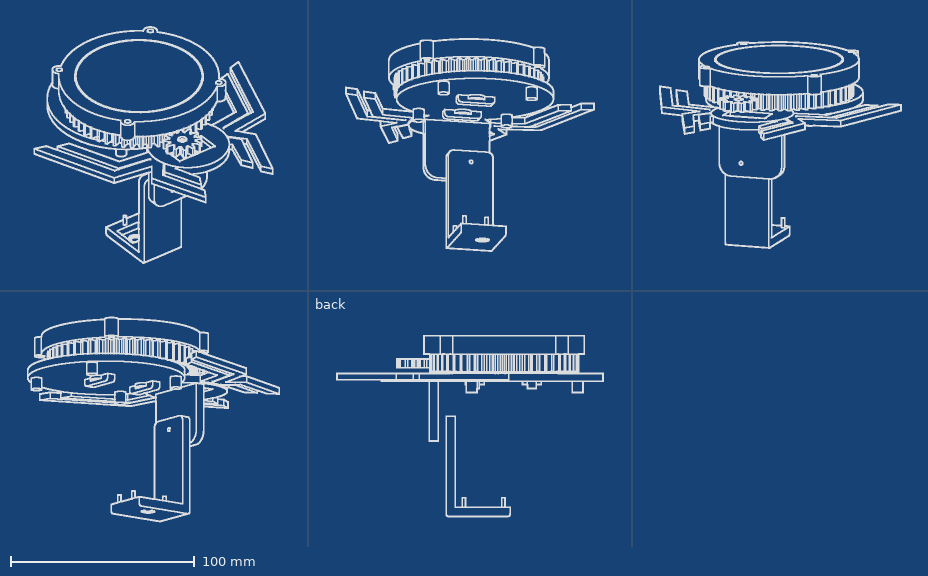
import cadquery as cq
import math


BASE_THICKNESS = 4.4
BASE_RADIUS = 42.8
BASE_X = -11.2
BASE_Y = -0.7
LOBE_RADIUS = 22.5
LOBE_X = 44.4

FOOT_DIAMETER = 6.0
FOOT_LENGTH = 6.1
FOOT_OFFSET_X = 28.9
FOOT_OFFSET_Y = 24.7

CLIP_XS = (-15.1, 16.0)
CLIP_LENGTH = 20.3
CLIP_BOSS_DIAMETER = 10.5
CLIP_BOSS_DROP = 1.7
CLIP_BAR_WIDTH = 5.0
CLIP_BAR_DROP = 3.9
CLIP_BAR_ROUND = 1.7

WALL_THICKNESS = 5.1
WALL_X = 35.8
WALL_FRONT_Y = -20.3
WALL_WIDTH = 36.0
WALL_BOTTOM_Z = -36.9
WALL_ROUND = 6.8
PIVOT_DIAMETER = 1.9
PIVOT_Y = -7.7
PIVOT_Z = -29.3

HUB_DIAMETER = 58.8
RUNNING_GAP = 1.0
GEAR_THICKNESS = 9.6
GEAR_BORE = 60.0
COVER_THICKNESS = 10.0
COVER_DIAMETER = 87.3
COVER_BORE = 70.0
DISC_DIAMETER = 68.8
EAR_DIAMETER = 7.5
EAR_HOLE = 3.2
EAR_OFFSET = 31.0
COVER_Z = RUNNING_GAP + GEAR_THICKNESS

GEAR_TEETH = 52
GEAR_TIP_RADIUS = 40.6
GEAR_ROOT_RADIUS = 37.1
GEAR_TIP_WIDTH = 1.3
GEAR_ROOT_WIDTH = 3.2
GEAR_FIRST_TOOTH = 6.2
PINION_TEETH = 12
PINION_TIP_RADIUS = 10.5
PINION_ROOT_RADIUS = 7.1
PINION_TIP_WIDTH = 1.5
PINION_ROOT_WIDTH = 2.9

PINION_X = 48.0
PINION_Y = -6.5
PINION_Z = 3.0
PINION_THICKNESS = 5.0
PINION_HOLE = 2.0
PINION_RECESS = 4.8
PINION_RECESS_DEPTH = 1.5

POCKET_X = 48.5
POCKET_WIDTH = 12.5
POCKET_LENGTH = 24.1
POCKET_FRONT_Y = -13.3
POCKET_DEPTH = 2.9
OPENING_WIDTH = 8.7
OPENING_LENGTH = 15.4

LEG_THICKNESS = 3.5

BRACKET_THICKNESS = 5.1
BRACKET_LEFT_X = -3.3
BRACKET_RIGHT_X = 31.6
BRACKET_FRONT_Y = -20.0
BRACKET_WIDTH = 25.1
BRACKET_TOP_Z = -23.2
BRACKET_BOTTOM_Z = -77.9
BRACKET_TOP_ROUND = 3.0
BRACKET_EDGE_ROUND = 1.5
PIN_DIAMETER = 1.9
PIN_LENGTH = 5.2
PIN_XS = (0.5, 21.9)
PIN_YS = (-10.0, 2.5)
SEAT_X = 10.5
SEAT_Y = -10.2
SEAT_SIZE = 14.4
SEAT_DEPTH = 4.0
SCREW_HOLE = 5.1
SCREW_RECESS = 7.5
SCREW_RECESS_DEPTH = 0.6


def cylinder(diameter, height, x=0, y=0, z=0):
    return cq.Workplane("XY", origin=(x, y, z)).circle(diameter / 2).extrude(height)


def box(x_min, x_max, y_min, y_max, z_min, z_max):
    size = (x_max - x_min, y_max - y_min, z_max - z_min)
    return cq.Workplane("XY").box(*size, centered=False).translate((x_min, y_min, z_min))


def toothed_wheel(teeth, tip_radius, root_radius, tip_width, root_width, thickness, first_tooth):
    """Spur wheel with straight-flanked teeth; first_tooth is the angle of one tooth in degrees."""
    tip_half_angle = tip_width / 2 / tip_radius
    root_half_angle = root_width / 2 / root_radius
    points = []
    for tooth in range(teeth):
        middle = math.radians(first_tooth) + tooth * 2 * math.pi / teeth
        for radius, offset in (
            (root_radius, -root_half_angle),
            (tip_radius, -tip_half_angle),
            (tip_radius, tip_half_angle),
            (root_radius, root_half_angle),
        ):
            angle = middle + offset
            points.append((radius * math.cos(angle), radius * math.sin(angle)))
    return cq.Workplane("XY").polyline(points).close().extrude(thickness)


def make_clip(x):
    y_min = -CLIP_LENGTH / 2
    y_max = CLIP_LENGTH / 2
    top = -BASE_THICKNESS
    half_bar = CLIP_BAR_WIDTH / 2
    boss = cylinder(CLIP_BOSS_DIAMETER, CLIP_BOSS_DROP, x, 0, top - CLIP_BOSS_DROP)
    bar = box(x - half_bar, x + half_bar, y_min, y_max, top - CLIP_BAR_DROP, top)
    bar = bar.faces("<Z").edges("|X").fillet(CLIP_BAR_ROUND)
    return boss.union(bar)


def pivot_hole():
    """Long cutter along X for the hole shared by the hanging wall and the bracket."""
    reach = WALL_X + WALL_THICKNESS
    return cq.Workplane("YZ").center(PIVOT_Y, PIVOT_Z).circle(PIVOT_DIAMETER / 2).extrude(reach)


def make_wall():
    wall = box(
        WALL_X, WALL_X + WALL_THICKNESS,
        WALL_FRONT_Y, WALL_FRONT_Y + WALL_WIDTH,
        WALL_BOTTOM_Z, -BASE_THICKNESS,
    )
    wall = wall.faces("<Z").edges("|X").fillet(WALL_ROUND)
    return wall.cut(pivot_hole())


def make_base():
    base = cylinder(2 * BASE_RADIUS, BASE_THICKNESS, BASE_X, BASE_Y, -BASE_THICKNESS)
    base = base.union(cylinder(2 * LOBE_RADIUS, BASE_THICKNESS, LOBE_X, 0, -BASE_THICKNESS))

    pocket_back = POCKET_FRONT_Y + POCKET_LENGTH
    half_pocket = POCKET_WIDTH / 2
    base = base.cut(box(
        POCKET_X - half_pocket, POCKET_X + half_pocket,
        POCKET_FRONT_Y, pocket_back, -POCKET_DEPTH, 0,
    ))
    half_opening = OPENING_WIDTH / 2
    base = base.cut(box(
        PINION_X - half_opening, PINION_X + half_opening,
        POCKET_FRONT_Y, POCKET_FRONT_Y + OPENING_LENGTH, -BASE_THICKNESS, 0,
    ))

    for side_x in (-1, 1):
        for side_y in (-1, 1):
            x = BASE_X + side_x * FOOT_OFFSET_X
            y = BASE_Y + side_y * FOOT_OFFSET_Y
            base = base.union(cylinder(FOOT_DIAMETER, FOOT_LENGTH, x, y, -BASE_THICKNESS - FOOT_LENGTH))
    for x in CLIP_XS:
        base = base.union(make_clip(x))

    base = base.union(make_wall())
    return base.union(cylinder(HUB_DIAMETER, COVER_Z))


def make_ring_gear():
    gear = toothed_wheel(
        GEAR_TEETH, GEAR_TIP_RADIUS, GEAR_ROOT_RADIUS, GEAR_TIP_WIDTH, GEAR_ROOT_WIDTH,
        GEAR_THICKNESS, GEAR_FIRST_TOOTH,
    )
    return gear.cut(cylinder(GEAR_BORE, GEAR_THICKNESS)).translate((0, 0, RUNNING_GAP))


def make_cover():
    ear_centres = [(x, y) for x in (-EAR_OFFSET, EAR_OFFSET) for y in (-EAR_OFFSET, EAR_OFFSET)]
    cover = cylinder(COVER_DIAMETER, COVER_THICKNESS, z=COVER_Z)
    for x, y in ear_centres:
        cover = cover.union(cylinder(EAR_DIAMETER, COVER_THICKNESS, x, y, COVER_Z))
    for x, y in ear_centres:
        cover = cover.cut(cylinder(EAR_HOLE, COVER_THICKNESS, x, y, COVER_Z))
    return cover.cut(cylinder(COVER_BORE, COVER_THICKNESS, z=COVER_Z))


def make_disc():
    return cylinder(DISC_DIAMETER, COVER_THICKNESS, z=COVER_Z)


def make_pinion():
    pinion = toothed_wheel(
        PINION_TEETH, PINION_TIP_RADIUS, PINION_ROOT_RADIUS, PINION_TIP_WIDTH, PINION_ROOT_WIDTH,
        PINION_THICKNESS, 0,
    )
    pinion = pinion.faces(">Z").workplane().cboreHole(PINION_HOLE, PINION_RECESS, PINION_RECESS_DEPTH)
    return pinion.translate((PINION_X, PINION_Y, PINION_Z))


def make_legs():
    """The group of four bars on the +Y side, its root trimmed to the edge of the base lobe."""
    outer_bars = [
        (-2.5, 69.57), (-0.6, 62.7), (40.6, 47.2), (43.5, 25.0), (46.4, 20.3),
        (51.5, 20.3), (51.5, 21.9), (59.6, 28.7), (85.2, 19.2), (91.1, 22.8), (58.8, 35.4),
        (49.6, 28.5), (46.1, 51.5),
    ]
    inner_left_bar = [
        (3.2, 58.0), (5.0, 51.2), (35.1, 39.8), (38.0, 17.4), (51.4, 17.4),
        (51.4, 21.8), (43.2, 25.0), (40.2, 44.1),
    ]
    inner_right_bar = [
        (51.4, 20.3), (51.4, 21.6), (52.5, 21.9), (58.0, 26.3), (80.0, 17.5), (73.8, 14.1),
        (58.8, 19.3), (57.7, 16.0),
    ]
    legs = cq.Workplane("XY", origin=(0, 0, -LEG_THICKNESS))
    group = legs.polyline(outer_bars).close().extrude(LEG_THICKNESS)
    for outline in (inner_left_bar, inner_right_bar):
        group = group.union(legs.polyline(outline).close().extrude(LEG_THICKNESS))
    return group.cut(cylinder(2 * LOBE_RADIUS, LEG_THICKNESS, LOBE_X, 0, -LEG_THICKNESS))


def make_bracket():
    back_y = BRACKET_FRONT_Y + BRACKET_WIDTH
    shelf_z = BRACKET_BOTTOM_Z + BRACKET_THICKNESS
    upright_x = BRACKET_RIGHT_X - BRACKET_THICKNESS

    shelf = box(BRACKET_LEFT_X, BRACKET_RIGHT_X, BRACKET_FRONT_Y, back_y, BRACKET_BOTTOM_Z, shelf_z)
    upright = box(upright_x, BRACKET_RIGHT_X, BRACKET_FRONT_Y, back_y, BRACKET_BOTTOM_Z, BRACKET_TOP_Z)
    bracket = shelf.union(upright.faces(">Z").edges("|X").fillet(BRACKET_TOP_ROUND))
    bracket = bracket.faces("<Z").edges("|Y").fillet(BRACKET_EDGE_ROUND)
    bracket = bracket.cut(pivot_hole())

    half_seat = SEAT_SIZE / 2
    seat_floor_z = shelf_z - SEAT_DEPTH
    bracket = bracket.cut(box(
        SEAT_X - half_seat, SEAT_X + half_seat,
        SEAT_Y - half_seat, SEAT_Y + half_seat, seat_floor_z, shelf_z,
    ))
    recess_z = seat_floor_z - SCREW_RECESS_DEPTH
    bracket = bracket.cut(cylinder(SCREW_RECESS, SCREW_RECESS_DEPTH, SEAT_X, SEAT_Y, recess_z))
    bracket = bracket.cut(cylinder(SCREW_HOLE, BRACKET_THICKNESS, SEAT_X, SEAT_Y, BRACKET_BOTTOM_Z))

    for x in PIN_XS:
        for y in PIN_YS:
            bracket = bracket.union(cylinder(PIN_DIAMETER, PIN_LENGTH, x, y, shelf_z))
    return bracket


base = make_base()
ring_gear = make_ring_gear()
cover = make_cover()
disc = make_disc()
pinion = make_pinion()
bracket = make_bracket()
back_legs = make_legs()
front_legs = back_legs.mirror("XZ")

result = cq.Compound.makeCompound([
    base.val(),
    ring_gear.val(),
    cover.val(),
    disc.val(),
    pinion.val(),
    bracket.val(),
    back_legs.val(),
    front_legs.val(),
])